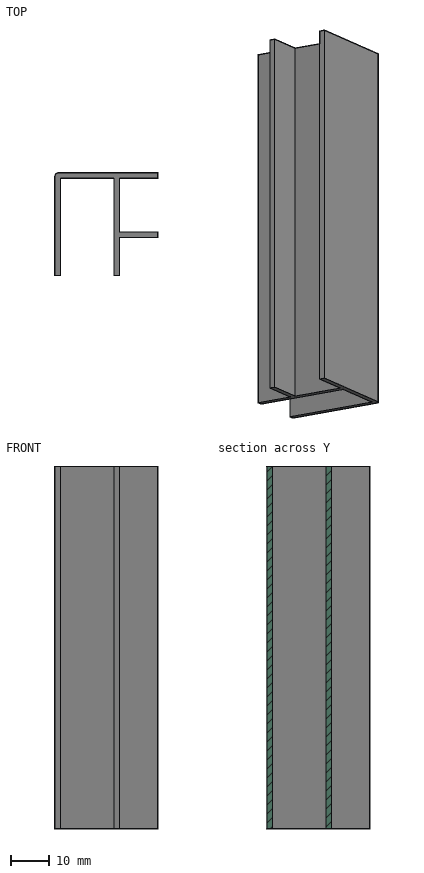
import cadquery as cq

length = 95.0
side = 27.0
wall = 1.5

flange_overhang = 10.0
corner_radius = 1.0

inner_wall_start = side - flange_overhang - wall


def plate(x, y, size_x, size_y):
    """Full-length wall whose lower-left profile corner is at (x, y)."""
    return cq.Workplane("XY").box(size_x, size_y, length, centered=False).translate((x, y, 0))


outer_web = plate(0, 0, wall, side)
back_web = plate(0, side - wall, side, wall)
inner_web = plate(inner_wall_start, 0, wall, side)
side_flange = plate(
    inner_wall_start, flange_overhang, side - inner_wall_start, wall
)

profile = outer_web.union(back_web).union(inner_web).union(side_flange)

result = profile.edges("|Z").edges(
    cq.selectors.NearestToPointSelector((0, side, length / 2))
).fillet(corner_radius)